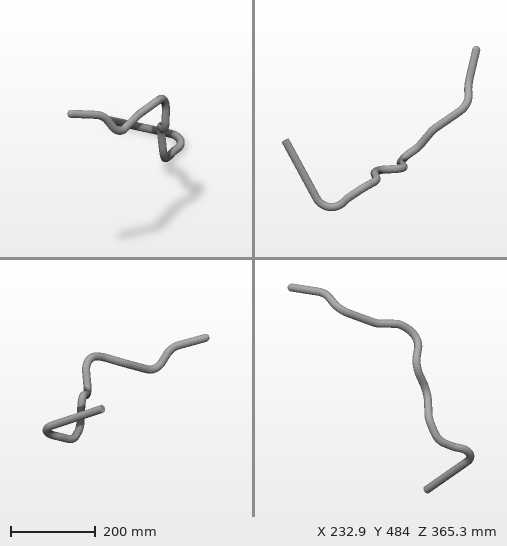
import cadquery as cq
import math

rod_diameter = 19.0
rod_radius = rod_diameter / 2

usual_radius = 40.0
tight_radius = 35.0
wide_radius = 48.0
widest_radius = 56.0

depth_y = 483.98
height_z = 365.3

dome_x = 86.3

flat_end = cq.Vector(0, 0, 0)

dome_centre = cq.Vector(dome_x, rod_diameter - depth_y, height_z - rod_diameter)

bends = [
    (cq.Vector(213.9, 0.0, 0.0), usual_radius),
    (cq.Vector(192.6, -63.9, 0.0), usual_radius),
    (cq.Vector(188.2, -108.4, 3.6), usual_radius),
    (cq.Vector(196.1, -142.2, 46.8), usual_radius),
    (cq.Vector(186.0, -136.8, 126.8), usual_radius),
    (cq.Vector(224.9, -203.5, 158.3), tight_radius),
    (cq.Vector(219.6, -185.2, 249.8), usual_radius),
    (cq.Vector(214.7, -242.7, 264.9), usual_radius),
    (cq.Vector(192.1, -292.7, 258.1), widest_radius),
    (cq.Vector(179.9, -395.2, 264.0), usual_radius),
    (cq.Vector(146.8, -411.1, 322.1), wide_radius),
]


def bend_points(before, corner, after, bend_radius):
    """Start, middle and end of the arc that rounds one corner of the centreline."""
    to_before = (before - corner).normalized()
    to_after = (after - corner).normalized()
    half_angle = to_before.getAngle(to_after) / 2
    tangent_length = bend_radius / math.tan(half_angle)
    corner_to_arc = bend_radius / math.sin(half_angle) - bend_radius
    inward = (to_before + to_after).normalized()
    start = corner + to_before * tangent_length
    middle = corner + inward * corner_to_arc
    end = corner + to_after * tangent_length
    return start, middle, end


def make_centreline():
    """Straight legs joined by tangent arcs, from the flat end to the domed end."""
    corners = [corner for corner, _ in bends]
    befores = [flat_end] + corners[:-1]
    afters = corners[1:] + [dome_centre]
    edges = []
    leg_start = flat_end
    for before, (corner, radius), after in zip(befores, bends, afters):
        arc_start, arc_middle, arc_end = bend_points(before, corner, after, radius)
        edges.append(cq.Edge.makeLine(leg_start, arc_start))
        edges.append(cq.Edge.makeThreePointArc(arc_start, arc_middle, arc_end))
        leg_start = arc_end
    edges.append(cq.Edge.makeLine(leg_start, dome_centre))
    return cq.Wire.assembleEdges(edges)


def make_rod():
    """The round section swept along the whole centreline."""
    section = cq.Workplane("YZ").circle(rod_radius)
    return section.sweep(cq.Workplane(make_centreline()))


def make_dome():
    """Ball on the last end of the rod; its outer half is the domed tip."""
    return cq.Workplane().sphere(rod_radius).translate(dome_centre)


result = make_rod().union(make_dome())